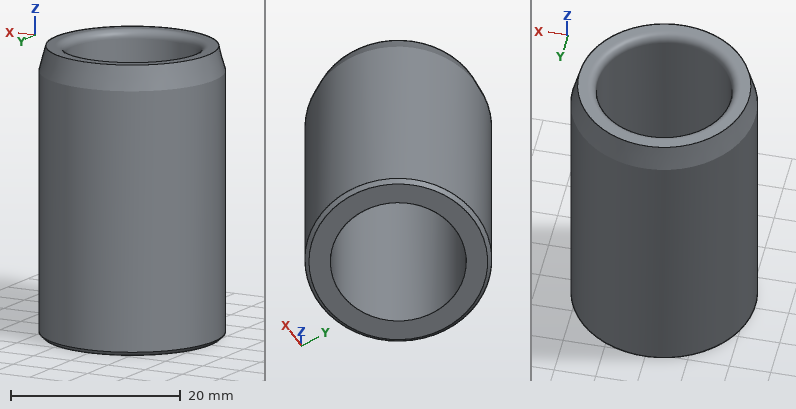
import cadquery as cq
import math

length = 35.0
outer_diameter = 22.0
bore_diameter = 16.0

taper_length = 3.0
taper_angle = 15.0
mouth_radius = 1.0
bottom_chamfer = 0.5

outer_radius = outer_diameter / 2
taper_depth = taper_length * math.tan(math.radians(taper_angle))


def make_body():
    """Solid cylinder with a tapered upper end and a chamfered lower edge."""
    profile = (
        cq.Workplane("XZ")
        .lineTo(outer_radius - bottom_chamfer, 0)
        .lineTo(outer_radius, bottom_chamfer)
        .lineTo(outer_radius, length - taper_length)
        .lineTo(outer_radius - taper_depth, length)
        .lineTo(0, length)
        .close()
    )
    return profile.revolve(360, (0, 0, 0), (0, 1, 0))


def cut_bore(body):
    """Through bore with a rounded mouth at the upper end."""
    bored = body.faces(">Z").workplane().hole(bore_diameter)
    mouth_edge = bored.faces(">Z").edges(cq.selectors.RadiusNthSelector(0))
    return mouth_edge.fillet(mouth_radius)


result = cut_bore(make_body())